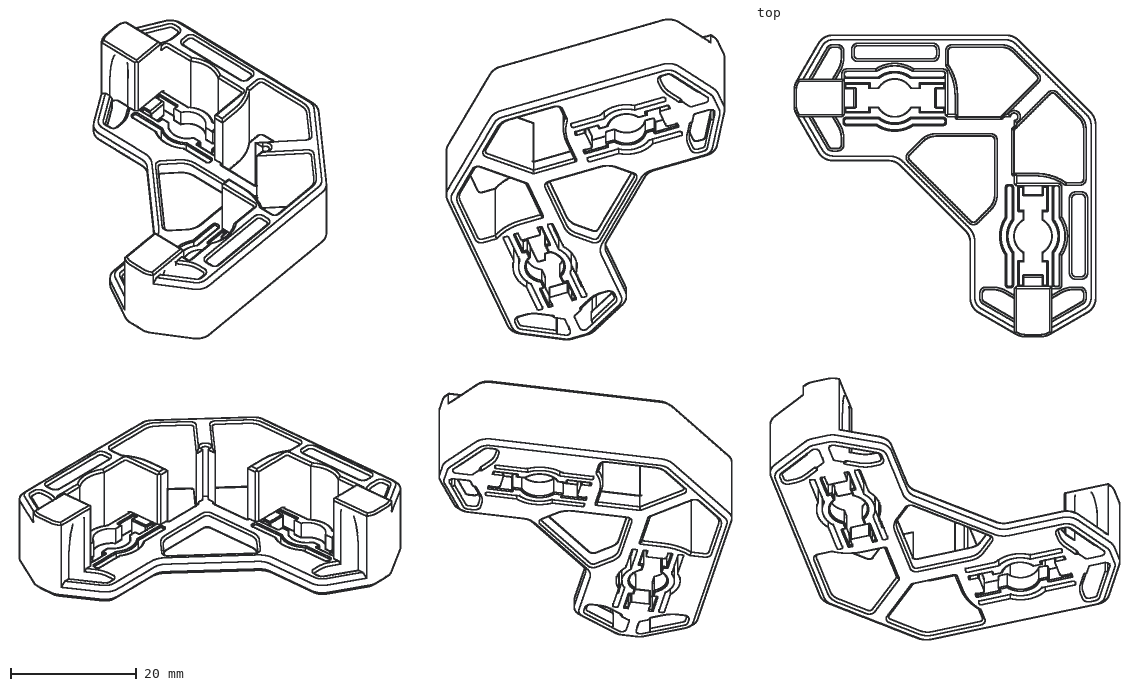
import cadquery as cq
import math


SIN_45 = math.sqrt(0.5)
COS_30 = math.cos(math.radians(30))
TAN_30 = math.tan(math.radians(30))

SIDE = 48.0
ARM_WIDTH = 20.0
SLAB_TOP = 2.9
WALL_BASE = 1.5
WALL_TOP = 12.6
TOWER_TOP = 14.1
OUTER_CHAMFER = 0.75
EDGE_CHAMFER = 0.4
FINE_CHAMFER = 0.2

AXIS = SIDE - ARM_WIDTH / 2
NOSE_HALF = 2.0
NOSE_LENGTH = (ARM_WIDTH / 2 - NOSE_HALF) * TAN_30
OUTER_CUT = 13.1
INNER_CUT_START = 16.1
NOSE_RADIUS = 2.7
CORNER_RADIUS = 3.0
INNER_CORNER_RADIUS = 2.5

WALL = 1.95
RIB_HALF = 1.5
TOWER_HALF = 3.0
TOWER_DEPTH = 8.0
TOWER_CHAMFER = 0.35
CLEAR = AXIS - TOWER_HALF
RELIEF_RADIUS = 0.6

CELL_START = TOWER_DEPTH
CELL_LENGTH = 16.0
CELL_END = CELL_START + CELL_LENGTH
CELL_MID = CELL_START + CELL_LENGTH / 2
SLOT_INNER = 3.3
SLOT_OUTER = 4.2
BULGE_INNER = 4.2
BULGE_OUTER = 5.1
HOLE_RADIUS = 3.0
GAP_HALF = 2.2
JAW_HALF = 1.5
JAW_REACH = 4.1
SLOT_FILLET = 0.3

HOOK_HALF = 1.65
HOOK_TOP = SLAB_TOP
HOOK_SIDE_CHAMFER = 0.2
TOWER_HOOK_LENGTH = 1.85
TOWER_HOOK_CHAMFER = 0.35
WALL_HOOK_LENGTH = 1.6
WALL_HOOK_CHAMFER = 0.2

END_WALL = 2.0
END_WALL_THIN = 0.5
FLARE_START = AXIS + 0.5
FLARE_END = AXIS + 5.3
WEB = 3.1
TRIANGLE_CUT_X = 21.35
BRACE = 1.7
WINDOW_FILLET = 0.6
WINDOW_BEND_RADIUS = 3.0
SIDE_WINDOW_BEND_RADIUS = 2.6

POCKET_X = 7.5
POCKET_BEND_RADIUS = 4.0
POCKET_BEND = 5.4
RECESS_DEPTH = 2.2
RECESS_TOP = 12.8
RECESS_OUTER_FILLET = 0.7
RECESS_INNER_FILLET = 0.35

TROUGH_LENGTH = 13.1
TROUGH_WIDTH = 2.1
TROUGH_X = 16.1
TROUGH_Y = 45.25
TROUGH_FILLET = 0.6


def mirrored(solid):
    """The same feature on the other arm."""
    return solid.mirror((1, -1, 0))


def at_corners(solid, points, radius):
    """Round the vertical edges that stand at the given plan points."""
    reach = 0.05
    tall = 2 * TOWER_TOP
    for x, y in points:
        box = cq.selectors.BoxSelector((x - reach, y - reach, -tall), (x + reach, y + reach, tall))
        solid = solid.edges("|Z").edges(box).fillet(radius)
    return solid


def flared(prism, mouth=0, foot=0):
    """Widen a cutter at 45 degrees at its top, and at its foot if that stands on z = 0."""
    top = prism.val().BoundingBox().zmax
    face = prism.faces(">Z").wires().vals()
    for chamfer, at_foot in ((mouth, False), (foot, True)):
        if chamfer:
            flare = cq.Workplane("XY").add(face).toPending().extrude(chamfer, taper=-45)
            flare = flare.translate((0, 0, -chamfer))
            if at_foot:
                flare = flare.mirror("XY").translate((0, 0, top))
            prism = prism.union(flare)
    return prism


def prism_of(points, height):
    return cq.Workplane("XY").polyline(points).close().extrude(height)


def outline(bottom, top):
    """Outer outline of the whole part, as a plain block between two heights."""
    low = SIDE - ARM_WIDTH
    half = [
        (INNER_CUT_START, low),
        (NOSE_LENGTH, low),
        (0, AXIS - NOSE_HALF),
        (0, AXIS + NOSE_HALF),
        (NOSE_LENGTH, SIDE),
        (SIDE - OUTER_CUT, SIDE),
    ]
    other = [(y, x) for x, y in reversed(half)]
    body = cq.Workplane("XY", origin=(0, 0, bottom)).polyline(half + other).close().extrude(top - bottom)
    body = at_corners(body, half[1:5] + other[1:5], NOSE_RADIUS)
    body = at_corners(body, [half[5], other[0]], CORNER_RADIUS)
    return at_corners(body, [half[0], other[5]], INNER_CORNER_RADIUS)


def pocket_plan(side, near, far, wall):
    """Plan of an end pocket between two distances from the centreline, on one side of it.

    It runs between the given outer wall and a line parallel to the slanted arm end.
    """
    def outer_x(reach):
        return (reach - NOSE_HALF) * TAN_30 + wall / COS_30

    def inner_x(reach):
        return POCKET_X - (POCKET_BEND - reach) * TAN_30

    plan = [(outer_x(far), far), (outer_x(near), near), (inner_x(near), near)]
    if far > POCKET_BEND:
        plan += [(POCKET_X, POCKET_BEND), (POCKET_X, far)]
    else:
        plan += [(inner_x(far), far)]
    return [(x, AXIS + side * reach) for x, reach in plan]


def end_pocket(side, top):
    """Opening between the tower and the slanted arm end, on one side of the tower."""
    plan = pocket_plan(side, TOWER_HALF - EDGE_CHAMFER, ARM_WIDTH / 2 - WALL, WALL)
    outer_corner, _, _, bend, inner_corner = plan
    pocket = at_corners(prism_of(plan, top), [outer_corner, inner_corner], WINDOW_FILLET)
    pocket = at_corners(pocket, [bend], POCKET_BEND_RADIUS)
    return flared(pocket, mouth=EDGE_CHAMFER, foot=EDGE_CHAMFER)


def tower_recess(side):
    """The end pocket runs on under the tower; its back leans out along the slanted arm end."""
    plan = pocket_plan(side, TOWER_HALF - RECESS_DEPTH, TOWER_HALF, WALL - EDGE_CHAMFER)
    prism = at_corners(prism_of(plan, RECESS_TOP), [plan[1]], RECESS_OUTER_FILLET)
    prism = at_corners(prism, [plan[2]], RECESS_INNER_FILLET)
    foot = prism.faces("<Z").wires().val()
    lean = cq.Vector(RECESS_DEPTH * TAN_30, side * RECESS_DEPTH, RECESS_TOP)
    recess = cq.Workplane(cq.Solid.extrudeLinear(foot, [], lean))
    return recess.intersect(tower_zone(0))


def side_window(top):
    """Large opening between the cell end wall, the outer wall and the diagonal rib."""
    far = SIDE - WALL
    slant = 2 * SIDE - OUTER_CUT - WALL / SIN_45
    offset = RIB_HALF / SIN_45
    wall_x = CELL_END + END_WALL
    thin_x = CELL_END + END_WALL_THIN
    mid_y = (FLARE_START + FLARE_END) / 2
    rise = FLARE_END - FLARE_START
    flare_radius = (rise**2 + (wall_x - thin_x)**2) / (2 * (wall_x - thin_x))
    mid_x = wall_x - flare_radius + math.sqrt(flare_radius**2 - (mid_y - FLARE_START)**2)
    tip = ((slant - offset) / 2, (slant + offset) / 2)
    window = (
        cq.Workplane("XY")
        .moveTo(wall_x, CLEAR)
        .lineTo(wall_x, FLARE_START)
        .threePointArc((mid_x, mid_y), (thin_x, FLARE_END))
        .lineTo(thin_x, far)
        .lineTo(slant - far, far)
        .lineTo(*tip)
        .lineTo(CLEAR - offset, CLEAR)
        .close()
        .extrude(top)
    )
    window = at_corners(window, [(thin_x, far), tip], WINDOW_FILLET)
    window = at_corners(window, [(slant - far, far)], SIDE_WINDOW_BEND_RADIUS)
    return flared(window, mouth=EDGE_CHAMFER, foot=EDGE_CHAMFER)


def inner_window():
    """Low opening on the diagonal, between the two arms and the brace."""
    far = CLEAR - WEB
    brace = INNER_CUT_START + SIDE - ARM_WIDTH + BRACE / SIN_45
    offset = far - TRIANGLE_CUT_X
    bend = (TRIANGLE_CUT_X, far)
    tip = ((brace - offset) / 2, (brace + offset) / 2)
    plan = [(far, far), bend, tip, tip[::-1], bend[::-1]]
    window = prism_of(plan, SLAB_TOP)
    window = at_corners(window, [plan[0], tip, tip[::-1]], WINDOW_FILLET)
    window = at_corners(window, [bend, bend[::-1]], WINDOW_BEND_RADIUS)
    return flared(window, mouth=EDGE_CHAMFER, foot=EDGE_CHAMFER)


def cell_bar(half_width, radius, height, start=CELL_START, end=CELL_END):
    """Straight bar along the arm with a round bulge at the middle of the cell."""
    bulge = cq.Workplane("XY").center(CELL_MID, AXIS).circle(radius).extrude(height)
    bar = cq.Workplane("XY").center((start + end) / 2, AXIS).rect(end - start, 2 * half_width)
    return bar.extrude(height).union(bulge)


def slots():
    """Pair of slots that free the two spring rails."""
    ring = cell_bar(SLOT_OUTER, BULGE_OUTER, SLAB_TOP).cut(cell_bar(SLOT_INNER, BULGE_INNER, SLAB_TOP))
    ends = [
        (x, AXIS + side * reach)
        for x in (CELL_START, CELL_END)
        for reach in (SLOT_INNER, SLOT_OUTER)
        for side in (-1, 1)
    ]
    ring = at_corners(ring, ends, SLOT_FILLET)
    first, second = [flared(cq.Workplane(slot), mouth=FINE_CHAMFER) for slot in ring.solids().vals()]
    return first.union(second)


def middle_gap():
    """Gap between the rails: a gripping hole with jaws, and a wider gap at both ends."""
    gap = cell_bar(JAW_HALF, HOLE_RADIUS, SLAB_TOP, CELL_MID - JAW_REACH, CELL_MID + JAW_REACH)
    gap = flared(gap, foot=FINE_CHAMFER)
    length = CELL_LENGTH / 2 - FINE_CHAMFER - JAW_REACH
    for side in (-1, 1):
        middle = CELL_MID + side * (JAW_REACH + length / 2)
        wide = cq.Workplane("XY").center(middle, AXIS).rect(length, 2 * GAP_HALF).extrude(SLAB_TOP)
        gap = gap.union(flared(wide, mouth=FINE_CHAMFER, foot=FINE_CHAMFER))
    return gap


def cell_clearance():
    """Space above the slab inside the cell."""
    cell = cell_bar(SLOT_OUTER, BULGE_OUTER, WALL_TOP)
    cell = at_corners(cell, [(x, AXIS + SLOT_OUTER) for x in (CELL_START, CELL_END)], SLOT_FILLET)
    return flared(cell, mouth=EDGE_CHAMFER)


def inner_clearance():
    """Space inside the L, with a round groove at the end of the rib."""
    square = cq.Workplane("XY").rect(2 * CLEAR, 2 * CLEAR).extrude(WALL_TOP)
    groove = cq.Workplane("XY").center(CLEAR, CLEAR).circle(RELIEF_RADIUS).extrude(WALL_TOP)
    return flared(square, mouth=EDGE_CHAMFER).union(flared(groove, mouth=EDGE_CHAMFER))


def trough():
    """Blind pocket in the wall beside the cell, down to the slab."""
    pocket = cq.Workplane("XY", origin=(TROUGH_X, TROUGH_Y, SLAB_TOP)).rect(TROUGH_LENGTH, TROUGH_WIDTH)
    pocket = pocket.extrude(WALL_TOP - SLAB_TOP).edges("|Z").fillet(TROUGH_FILLET)
    return flared(pocket, mouth=EDGE_CHAMFER)


def cell_corner_bevels():
    """Bevel the upright corners of the cell end walls that face the inside of the L."""
    corners = cq.Workplane("XY", origin=(0, 0, SLAB_TOP)).pushPoints([(CELL_START, CLEAR), (CELL_END, CLEAR)])
    return corners.polygon(4, 2 * EDGE_CHAMFER).extrude(TOWER_TOP - SLAB_TOP)


def tower_zone(bottom):
    zone = cq.Workplane("XY", origin=(0, AXIS, bottom)).rect(2 * TOWER_DEPTH, 2 * TOWER_HALF)
    return zone.extrude(TOWER_TOP - bottom)


def tower():
    block = outline(WALL_BASE, TOWER_TOP).intersect(tower_zone(WALL_BASE))
    return block.faces(">Z").edges().chamfer(TOWER_CHAMFER)


def hook(root, direction, length, tip_chamfer):
    """Small catch at the foot of a cell end wall, pointing into the middle gap."""
    block = cq.Workplane("XY").center(root + direction * length / 2, AXIS)
    block = block.rect(length, 2 * HOOK_HALF).extrude(HOOK_TOP)
    tip = ">X" if direction > 0 else "<X"
    block = block.faces(tip).edges(">Z").chamfer(tip_chamfer)
    block = block.edges("|X and >Z").chamfer(HOOK_SIDE_CHAMFER)
    return block.faces(tip).edges("|Z").chamfer(HOOK_SIDE_CHAMFER)


def slab():
    """Low floor over the whole outline, with all openings."""
    body = outline(0, SLAB_TOP).faces("<Z or >Z").edges().chamfer(OUTER_CHAMFER)
    body = body.cut(inner_window())
    cutters = [side_window(SLAB_TOP), slots(), middle_gap()]
    cutters += [end_pocket(side, SLAB_TOP) for side in (-1, 1)]
    for cutter in cutters:
        body = body.cut(cutter).cut(mirrored(cutter))
    return body


def raised_wall():
    """High wall along the outer sides, with the cell end walls and the rib."""
    body = outline(WALL_BASE, WALL_TOP).faces(">Z").edges().chamfer(OUTER_CHAMFER)
    body = body.cut(inner_clearance())
    for cutter in (cell_clearance(), side_window(WALL_TOP), end_pocket(1, WALL_TOP), trough()):
        body = body.cut(cutter).cut(mirrored(cutter))
    return body


hooks = hook(CELL_START, 1, TOWER_HOOK_LENGTH, TOWER_HOOK_CHAMFER)
hooks = hooks.union(hook(CELL_END, -1, WALL_HOOK_LENGTH, WALL_HOOK_CHAMFER))
cuts = tower_recess(1).union(tower_recess(-1)).union(cell_corner_bevels())

result = slab().union(raised_wall())
for feature in (tower(), hooks):
    result = result.union(feature).union(mirrored(feature))
result = result.cut(cuts).cut(mirrored(cuts))